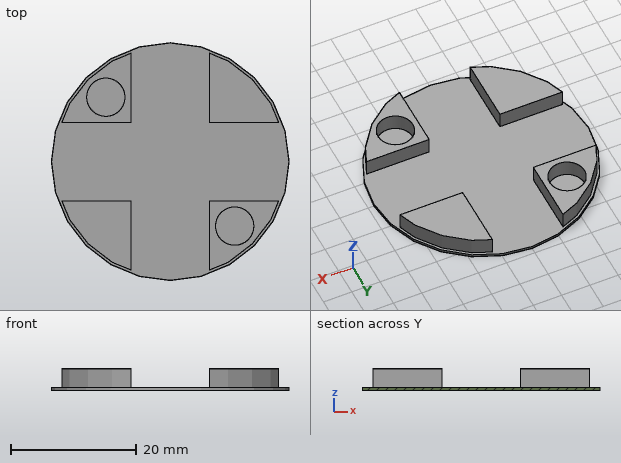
import cadquery as cq

side_count = 24
base_diameter = 38.0
total_height = 3.5
base_thickness = 0.5

pad_diameter = 37.13
channel_width = 12.5

pocket_diameter = 6.1
pocket_offset = 10.3

pad_height = total_height - base_thickness


def make_base():
    return cq.Workplane("XY").polygon(side_count, base_diameter).extrude(base_thickness)


def make_pads():
    base_top = cq.Workplane("XY").workplane(offset=base_thickness)
    pads = base_top.polygon(side_count, pad_diameter).extrude(pad_height)
    channel_along_x = base_top.rect(base_diameter, channel_width).extrude(pad_height)
    channel_along_y = base_top.rect(channel_width, base_diameter).extrude(pad_height)
    return pads.cut(channel_along_x).cut(channel_along_y)


def make_pockets():
    centers = [(-pocket_offset, pocket_offset), (pocket_offset, -pocket_offset)]
    return (
        cq.Workplane("XY")
        .workplane(offset=base_thickness)
        .pushPoints(centers)
        .circle(pocket_diameter / 2)
        .extrude(pad_height)
    )


result = make_base().union(make_pads().cut(make_pockets()))